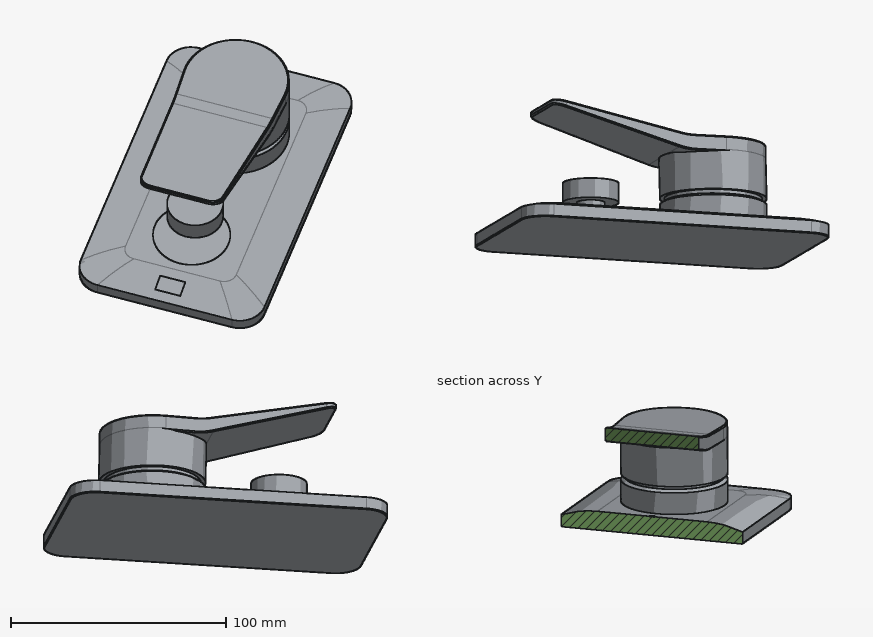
import cadquery as cq
import math

PLATE_X = 90.0
PLATE_Y = 150.0
PLATE_CORNER = 12.0
PLATE_TOP = 9.3
SIDE_TOP = 6.0
FIELD_X = 54.3
FIELD_Y = 114.3
FIELD_CORNER = 6.0
CROWN_STEPS = 4
EDGE_BREAK = 0.5
MARK_DEPTH = 0.1
DIAL_RADIUS = 18.0
DIAL_Y = -35.1
DOT_RADIUS = 1.2
LABEL_X = 12.3
LABEL_Y = 7.5
LABEL_CENTRE_Y = -66.5

BARREL_RADIUS = 24.9
BARREL_Y = 30.0
SLEEVE_TOP = 20.8
SLEEVE_BEVEL_WIDTH = 2.0
SLEEVE_BEVEL_HEIGHT = 1.2
NECK_RADIUS = 22.8
BARREL_BOTTOM = 22.6
BARREL_TOP = 47.7
BARREL_SEAM = 41.4
BARREL_LEAN = 0.5

BLADE_UNDERSIDE = 40.3
BEND_TOP_Y = 10.0
BEND_BOTTOM_Y = 9.7
BEND_RADIUS = 30.0
TIP_Y = -54.3
TIP_TOP = 61.8
TIP_DROP = 2.5
TIP_HALF_WIDTH = 20.0
TIP_CORNER = 6.0
BLADE_EDGE_BREAK = 0.6
MARGIN = 1.5

KNOB_Y = -30.0
KNOB_RADIUS = 13.0
KNOB_BOTTOM = 17.1
KNOB_TOP = 26.2
STEM_RADIUS = 6.6


def disc(radius, y, bottom, top):
    """Upright cylinder centred on x = 0."""
    return cq.Workplane("XY", origin=(0, y, bottom)).circle(radius).extrude(top - bottom)


def rounded_rectangle(width, length, corner, height):
    return (
        cq.Sketch().rect(width, length).vertices().fillet(corner)
        .moved(cq.Location(cq.Vector(0, 0, height)))
    )


def make_plate_blank():
    """Rounded slab whose border rises along an arc, level where it meets the field."""
    outer = rounded_rectangle(PLATE_X, PLATE_Y, PLATE_CORNER, 0)
    slab = cq.Workplane("XY").placeSketch(outer).extrude(SIDE_TOP)
    slab = slab.faces("<Z").edges().chamfer(EDGE_BREAK)

    rise = PLATE_TOP - SIDE_TOP
    run = (PLATE_X - FIELD_X) / 2
    radius = (run**2 + rise**2) / (2 * rise)
    sections = []
    for step in range(CROWN_STEPS + 1):
        inward = step / CROWN_STEPS
        remaining = run * (1 - inward)
        height = PLATE_TOP - radius + math.sqrt(radius**2 - remaining**2)
        width = PLATE_X + (FIELD_X - PLATE_X) * inward
        length = PLATE_Y + (FIELD_Y - PLATE_Y) * inward
        corner = PLATE_CORNER + (FIELD_CORNER - PLATE_CORNER) * inward
        sections.append(rounded_rectangle(width, length, corner, height))
    crown = cq.Workplane("XY").placeSketch(*sections).loft()
    return slab.union(crown)


def make_plate():
    blank = make_plate_blank()
    lowered = blank.translate((0, 0, -MARK_DEPTH))
    label = (
        cq.Workplane("XY", origin=(0, LABEL_CENTRE_Y, SIDE_TOP))
        .rect(LABEL_X, LABEL_Y).extrude(PLATE_TOP - SIDE_TOP)
    )
    marks = [
        disc(DIAL_RADIUS, DIAL_Y, SIDE_TOP, PLATE_TOP),
        disc(DOT_RADIUS, 0, SIDE_TOP, PLATE_TOP),
        label,
    ]
    plate = blank
    for mark in marks:
        plate = plate.cut(mark.cut(lowered))
    return plate


def make_sleeve():
    return (
        cq.Workplane("XZ", origin=(0, BARREL_Y, 0))
        .moveTo(0, PLATE_TOP)
        .lineTo(BARREL_RADIUS, PLATE_TOP)
        .lineTo(BARREL_RADIUS, SLEEVE_TOP - SLEEVE_BEVEL_HEIGHT)
        .lineTo(BARREL_RADIUS - SLEEVE_BEVEL_WIDTH, SLEEVE_TOP)
        .lineTo(0, SLEEVE_TOP)
        .close()
        .revolve(360, (0, 0, 0), (0, 1, 0))
    )


def make_blade():
    """Bent, tapering lever plate, rounded at the back around the barrel."""
    back_y = BARREL_Y - BARREL_LEAN
    profile = (
        cq.Workplane("YZ", origin=(-PLATE_X / 2, 0, 0))
        .moveTo(PLATE_Y / 2, BARREL_TOP)
        .lineTo(BEND_TOP_Y, BARREL_TOP)
        .lineTo(TIP_Y, TIP_TOP)
        .lineTo(TIP_Y, TIP_TOP - TIP_DROP)
        .lineTo(BEND_BOTTOM_Y, BLADE_UNDERSIDE)
        .lineTo(PLATE_Y / 2, BLADE_UNDERSIDE)
        .close()
        .extrude(PLATE_X)
    )
    bend = cq.selectors.BoxSelector(
        (-PLATE_X, BEND_BOTTOM_Y - MARGIN, BLADE_UNDERSIDE - MARGIN),
        (PLATE_X, BEND_TOP_Y + MARGIN, BARREL_TOP + MARGIN),
    )
    profile = profile.edges("|X").edges(bend).fillet(BEND_RADIUS)

    reach = back_y - TIP_Y
    tangent_angle = math.asin(BARREL_RADIUS / math.hypot(TIP_HALF_WIDTH, reach))
    taper = tangent_angle - math.atan2(TIP_HALF_WIDTH, reach)
    tangent_x = BARREL_RADIUS * math.cos(taper)
    tangent_y = back_y - BARREL_RADIUS * math.sin(taper)
    outline = (
        cq.Workplane("XY")
        .moveTo(-TIP_HALF_WIDTH, TIP_Y)
        .lineTo(TIP_HALF_WIDTH, TIP_Y)
        .lineTo(tangent_x, tangent_y)
        .threePointArc((0, back_y + BARREL_RADIUS), (-tangent_x, tangent_y))
        .close()
        .extrude(TIP_TOP)
        .edges("|Z and <Y").fillet(TIP_CORNER)
    )
    blade = profile.intersect(outline)
    bend_lines = cq.selectors.BoxSelector(
        (-MARGIN, TIP_Y + TIP_CORNER, BLADE_UNDERSIDE - MARGIN),
        (MARGIN, BARREL_Y, BARREL_TOP + MARGIN),
    )
    rim = cq.selectors.StringSyntaxSelector("not |Z") - bend_lines
    return blade.edges(rim).chamfer(BLADE_EDGE_BREAK)


def make_lever():
    neck = disc(NECK_RADIUS, BARREL_Y, SLEEVE_TOP, BARREL_BOTTOM)
    barrel = (
        cq.Workplane("XY", origin=(0, BARREL_Y, BARREL_BOTTOM))
        .circle(BARREL_RADIUS)
        .workplane(offset=BARREL_SEAM - BARREL_BOTTOM)
        .center(0, -BARREL_LEAN)
        .circle(BARREL_RADIUS)
        .loft()
    )
    return neck.union(barrel).union(make_blade())


def make_knob():
    stem = disc(STEM_RADIUS, KNOB_Y, PLATE_TOP - MARK_DEPTH, KNOB_BOTTOM)
    cap = disc(KNOB_RADIUS, KNOB_Y, KNOB_BOTTOM, KNOB_TOP)
    return stem.union(cap)


plate = make_plate()
sleeve = make_sleeve()
lever = make_lever()
knob = make_knob()

result = cq.Compound.makeCompound([plate.val(), sleeve.val(), lever.val(), knob.val()])